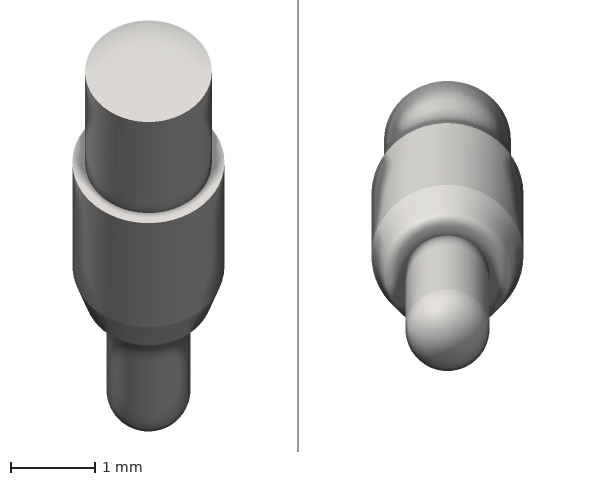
import cadquery as cq

total_height = 6.8
tail_diameter = 1.5
tail_height = 1.8
barrel_diameter = 1.8
barrel_height = 2.7
taper_height = 0.64
nose_diameter = 1.47
nose_fillet = 0.135
plunger_diameter = 1.0

top_z = total_height / 2
shoulder_z = top_z - tail_height
nose_z = shoulder_z - barrel_height
tip_z = -total_height / 2


def make_tail():
    """Plain solder tail above the barrel."""
    tail = cq.Workplane("XY").workplane(offset=shoulder_z)
    return tail.circle(tail_diameter / 2).extrude(tail_height)


def make_barrel():
    """Cylindrical barrel tapering to a nose with a rounded lower edge."""
    barrel = (
        cq.Workplane("XZ")
        .moveTo(0, shoulder_z)
        .lineTo(barrel_diameter / 2, shoulder_z)
        .lineTo(barrel_diameter / 2, nose_z + taper_height)
        .lineTo(nose_diameter / 2, nose_z)
        .lineTo(0, nose_z)
        .close()
        .revolve(360, (0, 0, 0), (0, 1, 0))
    )
    return barrel.faces("<Z").edges().fillet(nose_fillet)


def make_plunger():
    """Plunger below the barrel, ending in a hemisphere."""
    radius = plunger_diameter / 2
    dome_z = tip_z + radius
    shaft = cq.Workplane("XY").workplane(offset=dome_z).circle(radius).extrude(nose_z - dome_z)
    dome = cq.Workplane("XY").sphere(radius).translate((0, 0, dome_z))
    return shaft.union(dome)


result = make_barrel().union(make_tail()).union(make_plunger())